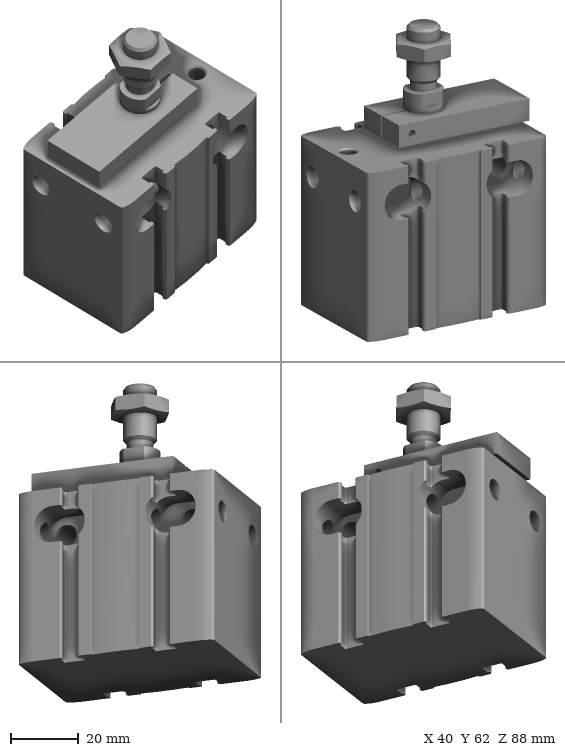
import cadquery as cq
import math

WIDTH = 40.0
LENGTH = 62.0
HEIGHT = 53.0
TOTAL_HEIGHT = 88.0

SIDE_ARC_START = 26.3
END_FLAT_HALF = 18.3
CORNER_INSET = 0.8
CORNER_DROP = 0.6
RELIEF_HALF_LENGTH = 7.7
RELIEF_DEPTH = 0.6
RELIEF_RAMP = 0.2
BULGE_HALF_LENGTH = 7.0
BULGE_RISE = 0.3

GROOVE_Y = 14.5
GROOVE_WIDTH = 6.5
GROOVE_DEPTH = 4.6
GROOVE_FILLET = 0.5
MOUTH_WIDTH = 5.2
MOUTH_DEPTH = 1.4
LIP_CHAMFER = 0.4

MOUNT_Z = HEIGHT - 11.0
MOUNT_DIAMETER = 6.6
END_HOLE_X = 12.0
SIDE_HOLE_Y = 20.0
POCKET_WIDTH = 11.2
POCKET_LENGTH = 16.0
POCKET_DEPTH = 11.5

TOP_HOLE_Y = 26.0
OPEN_HOLE_DIAMETER = 5.0
OPEN_HOLE_MOUTH = 6.0
OPEN_HOLE_MOUTH_DEPTH = 0.5
OPEN_HOLE_DEPTH = 10.0
DRILL_TIP_ANGLE = 118.0

ROD_DIAMETER = 12.0
ROD_INSERTION = 20.0
ROD_SHOULDER_Z = 68.0
FLATS_BOTTOM_Z = 63.5
FLATS_WIDTH = 10.0
NECK_DIAMETER = 8.0
NECK_FILLET = 0.3
THREAD_DIAMETER = 10.0
THREAD_START_Z = 70.7
THREAD_TIP_DIAMETER = 8.57
THREAD_TIP_HEIGHT = 0.9

NUT_FLATS = 16.0
NUT_BOTTOM_Z = 78.8
NUT_THICKNESS = 5.0
NUT_FACE_DIAMETER = 14.6
NUT_CHAMFER_ANGLE = 15.0

PLATE_WIDTH = 20.0
PLATE_LENGTH = 45.0
PLATE_Y_MAX = 14.5
PLATE_BOTTOM_Z = 55.0
PLATE_THICKNESS = 7.0
CLAMP_SLOT = 0.8
GUIDE_Y = -TOP_HOLE_Y
GUIDE_DIAMETER = 4.92
GUIDE_INSERTION = 20.0
GUIDE_HOLE_DIAMETER = 5.0
GUIDE_HOLE_MOUTH = 7.0
GUIDE_HOLE_MOUTH_DEPTH = 0.2

SCREW_Y = 10.0
SCREW_Z = PLATE_BOTTOM_Z + PLATE_THICKNESS / 2
SCREW_DIAMETER = 3.0
SCREW_TIP_HOLE = 2.46
SCREW_TIP_RECESS = 2.0


def cylinder(diameter, z_bottom, z_top, x=0.0, y=0.0):
    return cq.Workplane("XY", origin=(x, y, z_bottom)).circle(diameter / 2).extrude(z_top - z_bottom)


def housing_block():
    half_w = WIDTH / 2
    half_l = LENGTH / 2
    corner_x = half_w - CORNER_INSET
    corner_y = half_l - CORNER_DROP
    relief_x = half_w - RELIEF_DEPTH
    corner_radius = ((corner_x - END_FLAT_HALF) ** 2 + CORNER_DROP**2) / (2 * CORNER_DROP)
    rise = corner_y - SIDE_ARC_START
    radius = (rise**2 + CORNER_INSET**2) / (2 * CORNER_INSET)
    half_angle = math.asin(rise / radius) / 2
    arc_mid_x = half_w - radius * (1 - math.cos(half_angle))
    arc_mid_y = SIDE_ARC_START + radius * math.sin(half_angle)
    right_half = (
        cq.Workplane("XY")
        .moveTo(0, half_l)
        .lineTo(END_FLAT_HALF, half_l)
        .radiusArc((corner_x, corner_y), corner_radius)
        .threePointArc((arc_mid_x, arc_mid_y), (half_w, SIDE_ARC_START))
        .lineTo(half_w, RELIEF_HALF_LENGTH)
        .lineTo(relief_x, RELIEF_HALF_LENGTH - RELIEF_RAMP)
        .lineTo(relief_x, BULGE_HALF_LENGTH)
        .threePointArc((relief_x + BULGE_RISE, 0), (relief_x, -BULGE_HALF_LENGTH))
        .lineTo(relief_x, -RELIEF_HALF_LENGTH + RELIEF_RAMP)
        .lineTo(half_w, -RELIEF_HALF_LENGTH)
        .lineTo(half_w, -SIDE_ARC_START)
        .threePointArc((arc_mid_x, -arc_mid_y), (corner_x, -corner_y))
        .radiusArc((END_FLAT_HALF, -half_l), corner_radius)
        .lineTo(0, -half_l)
        .close()
        .extrude(HEIGHT)
    )
    return right_half.union(right_half.mirror("YZ"))


def sensor_groove(side, y):
    """T-shaped groove over the full height: a narrow mouth with chamfered lips and a wider channel."""
    outer_x = side * WIDTH / 2
    mouth_end_x = outer_x - side * GROOVE_DEPTH / 2
    mouth = (
        cq.Workplane("XY")
        .polyline([
            (outer_x, y - MOUTH_WIDTH / 2 - LIP_CHAMFER),
            (outer_x, y + MOUTH_WIDTH / 2 + LIP_CHAMFER),
            (outer_x - side * LIP_CHAMFER, y + MOUTH_WIDTH / 2),
            (mouth_end_x, y + MOUTH_WIDTH / 2),
            (mouth_end_x, y - MOUTH_WIDTH / 2),
            (outer_x - side * LIP_CHAMFER, y - MOUTH_WIDTH / 2),
        ])
        .close()
        .extrude(HEIGHT)
    )
    channel = (
        cq.Workplane("XY")
        .center(outer_x - side * (MOUTH_DEPTH + GROOVE_DEPTH) / 2, y)
        .rect(GROOVE_DEPTH - MOUTH_DEPTH, GROOVE_WIDTH)
        .extrude(HEIGHT)
        .edges("|Z")
        .edges("<X" if side > 0 else ">X")
        .fillet(GROOVE_FILLET)
    )
    return channel.union(mouth)


def side_mounting_hole(y):
    """Through hole along X with an obround pocket at both ends, stretched towards the middle."""
    cut = cq.Workplane("YZ", origin=(-WIDTH / 2, y, MOUNT_Z)).circle(MOUNT_DIAMETER / 2).extrude(WIDTH)
    toward_middle = -math.copysign((POCKET_LENGTH - POCKET_WIDTH) / 2, y)
    for pocket_start in (-WIDTH / 2, WIDTH / 2 - POCKET_DEPTH):
        pocket = (
            cq.Workplane("YZ", origin=(pocket_start, y + toward_middle, MOUNT_Z))
            .slot2D(POCKET_LENGTH, POCKET_WIDTH)
            .extrude(POCKET_DEPTH)
        )
        cut = cut.union(pocket)
    return cut


def end_mounting_hole(x):
    return cq.Workplane("XZ", origin=(x, LENGTH / 2, MOUNT_Z)).circle(MOUNT_DIAMETER / 2).extrude(LENGTH)


def top_hole(y, diameter, mouth_diameter, mouth_depth, depth):
    """Blind drilled hole with a conical mouth and a conical tip below its full depth."""
    radius = diameter / 2
    mouth_radius = mouth_diameter / 2
    tip_height = radius / math.tan(math.radians(DRILL_TIP_ANGLE / 2))
    floor_z = HEIGHT - depth
    return (
        cq.Workplane("XZ", origin=(0, y, 0))
        .polyline([
            (0, HEIGHT),
            (mouth_radius, HEIGHT),
            (radius, HEIGHT - mouth_depth),
            (radius, floor_z),
            (0, floor_z - tip_height),
        ])
        .close()
        .revolve(360, (0, 0, 0), (0, 1, 0))
    )


def make_housing():
    body = housing_block()
    for side in (-1, 1):
        for y in (-GROOVE_Y, GROOVE_Y):
            body = body.cut(sensor_groove(side, y))
    for y in (-SIDE_HOLE_Y, SIDE_HOLE_Y):
        body = body.cut(side_mounting_hole(y))
    for x in (-END_HOLE_X, END_HOLE_X):
        body = body.cut(end_mounting_hole(x))
    body = body.cut(
        top_hole(TOP_HOLE_Y, OPEN_HOLE_DIAMETER, OPEN_HOLE_MOUTH, OPEN_HOLE_MOUTH_DEPTH, OPEN_HOLE_DEPTH)
    )
    body = body.cut(
        top_hole(GUIDE_Y, GUIDE_HOLE_DIAMETER, GUIDE_HOLE_MOUTH, GUIDE_HOLE_MOUTH_DEPTH, GUIDE_INSERTION)
    )
    return body.cut(cylinder(ROD_DIAMETER, HEIGHT - ROD_INSERTION, HEIGHT))


def make_rod():
    thread_radius = THREAD_DIAMETER / 2
    neck_radius = NECK_DIAMETER / 2
    tip_radius = THREAD_TIP_DIAMETER / 2
    turned = (
        cq.Workplane("XZ")
        .moveTo(0, HEIGHT - ROD_INSERTION)
        .lineTo(ROD_DIAMETER / 2, HEIGHT - ROD_INSERTION)
        .lineTo(ROD_DIAMETER / 2, ROD_SHOULDER_Z)
        .lineTo(neck_radius + NECK_FILLET, ROD_SHOULDER_Z)
        .radiusArc((neck_radius, ROD_SHOULDER_Z + NECK_FILLET), NECK_FILLET)
        .lineTo(neck_radius, THREAD_START_Z)
        .lineTo(thread_radius, THREAD_START_Z + thread_radius - neck_radius)
        .lineTo(thread_radius, TOTAL_HEIGHT - THREAD_TIP_HEIGHT)
        .lineTo(tip_radius, TOTAL_HEIGHT)
        .lineTo(0, TOTAL_HEIGHT)
        .close()
        .revolve(360, (0, 0, 0), (0, 1, 0))
    )
    flats_height = ROD_SHOULDER_Z - FLATS_BOTTOM_Z
    flat_cutters = (
        cq.Workplane("XY", origin=(0, 0, FLATS_BOTTOM_Z))
        .pushPoints([(-FLATS_WIDTH, 0), (FLATS_WIDTH, 0)])
        .rect(FLATS_WIDTH, ROD_DIAMETER)
        .extrude(flats_height)
    )
    return turned.cut(flat_cutters)


def make_nut():
    corner_diameter = NUT_FLATS / math.cos(math.pi / 6)
    corner_radius = corner_diameter / 2
    face_radius = NUT_FACE_DIAMETER / 2
    chamfer_drop = (corner_radius - face_radius) * math.tan(math.radians(NUT_CHAMFER_ANGLE))
    nut_top_z = NUT_BOTTOM_Z + NUT_THICKNESS
    hexagon = (
        cq.Workplane("XY", origin=(0, 0, NUT_BOTTOM_Z))
        .transformed(rotate=(0, 0, 90))
        .polygon(6, corner_diameter)
        .extrude(NUT_THICKNESS)
    )
    chamfered_disc = (
        cq.Workplane("XZ")
        .polyline([
            (0, NUT_BOTTOM_Z),
            (face_radius, NUT_BOTTOM_Z),
            (corner_radius, NUT_BOTTOM_Z + chamfer_drop),
            (corner_radius, nut_top_z - chamfer_drop),
            (face_radius, nut_top_z),
            (0, nut_top_z),
        ])
        .close()
        .revolve(360, (0, 0, 0), (0, 1, 0))
    )
    return hexagon.intersect(chamfered_disc).cut(cylinder(THREAD_DIAMETER, NUT_BOTTOM_Z, nut_top_z))


def make_clamp_screw():
    tip_x = -PLATE_WIDTH / 2 + SCREW_TIP_RECESS
    return (
        cq.Workplane("YZ", origin=(tip_x, SCREW_Y, SCREW_Z))
        .circle(SCREW_DIAMETER / 2)
        .extrude(PLATE_WIDTH / 2 - tip_x)
    )


def make_guide_plate():
    plate_top_z = PLATE_BOTTOM_Z + PLATE_THICKNESS
    plate = (
        cq.Workplane("XY", origin=(0, PLATE_Y_MAX - PLATE_LENGTH / 2, PLATE_BOTTOM_Z))
        .rect(PLATE_WIDTH, PLATE_LENGTH)
        .extrude(PLATE_THICKNESS)
    )
    clamp_slot = (
        cq.Workplane("XY", origin=(0, PLATE_Y_MAX / 2, PLATE_BOTTOM_Z))
        .rect(CLAMP_SLOT, PLATE_Y_MAX)
        .extrude(PLATE_THICKNESS)
    )
    tip_hole = (
        cq.Workplane("YZ", origin=(-PLATE_WIDTH / 2, SCREW_Y, SCREW_Z))
        .circle(SCREW_TIP_HOLE / 2)
        .extrude(SCREW_TIP_RECESS)
    )
    plate = plate.cut(cylinder(ROD_DIAMETER, PLATE_BOTTOM_Z, plate_top_z))
    plate = plate.cut(clamp_slot).cut(tip_hole).cut(make_clamp_screw())
    guide_pin = cylinder(GUIDE_DIAMETER, HEIGHT - GUIDE_INSERTION, PLATE_BOTTOM_Z, y=GUIDE_Y)
    return plate.union(guide_pin)


housing = make_housing()
rod = make_rod()
nut = make_nut()
guide_plate = make_guide_plate()
clamp_screw = make_clamp_screw()

result = cq.Compound.makeCompound([
    housing.val(),
    rod.val(),
    nut.val(),
    guide_plate.val(),
    clamp_screw.val(),
])